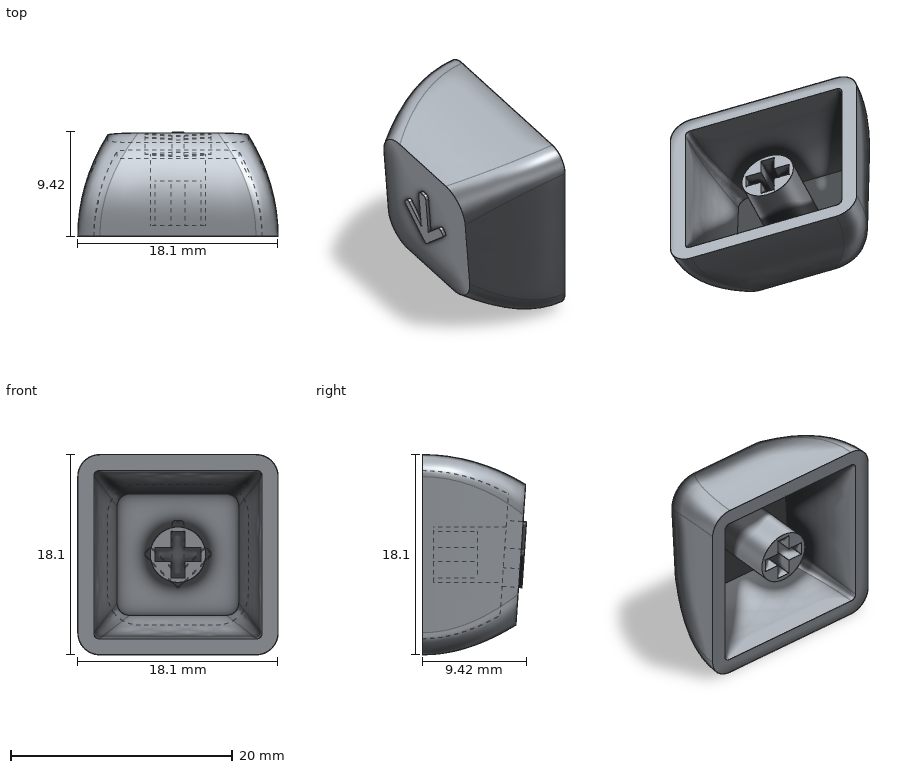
import cadquery as cq
import math

rim_side = 18.1
rim_corner_radius = 2.0
roof_side = 12.7
roof_corner_radius = 2.75
roof_height = 8.9
roof_tilt = 3.95
roof_thickness = 1.5

opening_side = 15.2
opening_corner_radius = 0.5
floor_side = 10.98
floor_corner_radius = 1.1
floor_height = roof_height - roof_thickness / math.cos(math.radians(roof_tilt))

stem_diameter = 5.0
stem_recess = 1.0
cross_length = 4.17
cross_width = 1.27
cross_depth = 4.0

legend_rise = 0.31
arrow_reach = 3.1
arrow_shaft_width = 1.1
arrow_shaft_top = 3.0
arrow_shaft_corner_radius = 0.37
arrow_barb_width = 0.9
arrow_tip_radius = 0.3

loft_fractions = [0, 0.25, 0.5, 0.75, 1]


def tilted_plane(height, fraction=1.0):
    """Plane across the cap: local y runs up towards +Z, the normal points to the rim."""
    tilt = math.atan(fraction * math.tan(math.radians(roof_tilt)))
    normal = (0, -math.cos(tilt), math.sin(tilt))
    return cq.Plane(origin=(0, height, 0), xDir=(1, 0, 0), normal=normal)


def bulged_loft(height, start_side, end_side, start_radius, end_radius):
    """Rounded square that shrinks along a parabola from the rim plane to the tilted end."""
    sections = []
    for fraction in loft_fractions:
        bend = fraction ** 2
        side = start_side + (end_side - start_side) * bend
        radius = start_radius + (end_radius - start_radius) * bend
        plane = tilted_plane(height * fraction, fraction)
        square = cq.Sketch().rect(side, side).vertices().fillet(radius)
        sections.append(square.moved(cq.Location(plane)))
    return cq.Workplane().placeSketch(*sections).loft()


def make_stem():
    """Round post from inside the roof to just short of the rim, with its socket."""
    end_plane = cq.Workplane("XZ", origin=(0, stem_recess, 0))
    stem_length = floor_height + roof_thickness / 2 - stem_recess
    post = end_plane.circle(stem_diameter / 2).extrude(-stem_length)
    socket = (
        end_plane.rect(cross_length, cross_width).extrude(-cross_depth)
        .union(end_plane.rect(cross_width, cross_length).extrude(-cross_depth))
    )
    return post.cut(socket)


def make_legend():
    """Arrow prism from the cavity floor to above the roof, square to the roof."""
    thickness = roof_thickness + legend_rise
    inner = cq.Workplane(tilted_plane(roof_height)).workplane(offset=roof_thickness)
    along_prism = cq.selectors.ParallelDirSelector(inner.plane.zDir)

    barb_step = arrow_barb_width / math.sqrt(2)
    notch_depth = arrow_reach - 2 * barb_step
    head = (
        inner.moveTo(0, -arrow_reach)
        .lineTo(arrow_reach, 0)
        .lineTo(arrow_reach - barb_step, barb_step)
        .lineTo(0, -notch_depth)
        .lineTo(barb_step - arrow_reach, barb_step)
        .lineTo(-arrow_reach, 0)
        .close()
        .extrude(-thickness)
        .edges(along_prism)
        .fillet(arrow_tip_radius)
    )
    shaft_length = arrow_shaft_top + notch_depth
    shaft = (
        inner.center(0, arrow_shaft_top - shaft_length / 2)
        .rect(arrow_shaft_width, shaft_length)
        .extrude(-thickness)
        .edges(along_prism)
        .edges(">Z")
        .fillet(arrow_shaft_corner_radius)
    )
    return head.union(shaft)


def make_cap(legend):
    """Hollow shell with its stem and a through hole that the legend fills."""
    shell = bulged_loft(roof_height, rim_side, roof_side, rim_corner_radius, roof_corner_radius)
    cavity = bulged_loft(floor_height, opening_side, floor_side, opening_corner_radius, floor_corner_radius)
    return shell.cut(cavity).union(make_stem()).cut(legend)


legend = make_legend()
cap = make_cap(legend)
result = cq.Compound.makeCompound([cap.val(), legend.val()])